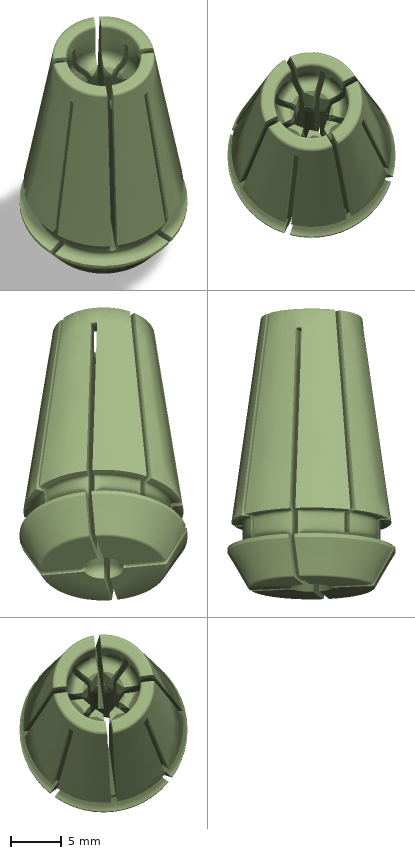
import cadquery as cq
import math

length = 27.5

taper_half_angle = math.radians(8)
taper_base_radius = 8.0
taper_base_z = 6.65
taper_end_radius = taper_base_radius - (length - taper_base_z) * math.tan(taper_half_angle)
end_edge_fillet = 0.3

nose_half_angle = math.radians(30)
rim_diameter = 16.8
rim_radius = rim_diameter / 2
rim_bottom_z = 3.6
rim_top_z = 4.0
nose_radius = rim_radius - rim_bottom_z * math.tan(nose_half_angle)

groove_radius = 6.9
groove_fillet = 0.22

bore_radius = 3.68
bore_floor_z = 22.85
bore_floor_fillet = 0.77

square_side = 3.4
square_depth = 6.05
square_bottom_z = bore_floor_z - square_depth
countersink_radius = 2.17
countersink_half_angle = math.radians(45)
countersink_depth = countersink_radius / math.tan(countersink_half_angle)
shank_radius = 2.0

slot_width = 0.6
bottom_slot_end_z = 25.5
top_slot_end_z = 4.5
slot_length = 4 * rim_radius


def make_outer_body():
    """Revolved nose, rim, groove and taper, with the end edges rounded."""
    arc_offset = groove_fillet * (1 - math.sqrt(0.5))
    outline = (
        cq.Workplane("XZ")
        .lineTo(nose_radius, 0)
        .lineTo(rim_radius, rim_bottom_z)
        .lineTo(rim_radius, rim_top_z)
        .lineTo(groove_radius + groove_fillet, rim_top_z)
        .threePointArc(
            (groove_radius + arc_offset, rim_top_z + arc_offset),
            (groove_radius, rim_top_z + groove_fillet),
        )
        .lineTo(groove_radius, taper_base_z - groove_fillet)
        .threePointArc(
            (groove_radius + arc_offset, taper_base_z - arc_offset),
            (groove_radius + groove_fillet, taper_base_z),
        )
        .lineTo(taper_base_radius, taper_base_z)
        .lineTo(taper_end_radius, length)
        .lineTo(0, length)
        .close()
    )
    body = outline.revolve(360, (0, 0), (0, 1))
    body = body.faces(">Z").edges().fillet(end_edge_fillet)
    return body.faces("<Z").edges().fillet(end_edge_fillet)


def cut_bore(body):
    """Blind bore with a rounded floor corner and a rounded mouth."""
    bore = (
        cq.Workplane("XY", origin=(0, 0, bore_floor_z))
        .circle(bore_radius)
        .extrude(length - bore_floor_z)
        .faces("<Z")
        .edges()
        .fillet(bore_floor_fillet)
    )
    body = body.cut(bore)
    mouth_edge = cq.selectors.RadiusNthSelector(0)
    return body.faces(">Z").edges(mouth_edge).fillet(end_edge_fillet)


def cut_shank_seat(body):
    """Round shank hole, square drive and its conical mouth."""
    shank_hole = cq.Workplane("XY").circle(shank_radius).extrude(square_bottom_z)
    square_hole = (
        cq.Workplane("XY", origin=(0, 0, square_bottom_z))
        .rect(square_side, square_side)
        .extrude(square_depth)
    )
    countersink = cq.Workplane("XY").add(
        cq.Solid.makeCone(
            0,
            countersink_radius,
            countersink_depth,
            pnt=cq.Vector(0, 0, bore_floor_z - countersink_depth),
        )
    )
    return body.cut(shank_hole).cut(square_hole).cut(countersink)


def crossed_slots(start_z, end_z, first_angle):
    """Two full-width slots crossing at right angles on the axis."""
    slots = cq.Workplane("XY")
    for angle in (first_angle, first_angle + 90):
        slot = (
            cq.Workplane("XY", origin=(0, 0, start_z))
            .rect(slot_length, slot_width)
            .extrude(end_z - start_z)
            .rotate((0, 0, 0), (0, 0, 1), angle)
        )
        slots = slots.add(slot)
    return slots.combine()


collet = cut_shank_seat(cut_bore(make_outer_body()))
collet = collet.cut(crossed_slots(0, bottom_slot_end_z, 0))
result = collet.cut(crossed_slots(top_slot_end_z, length, 45))